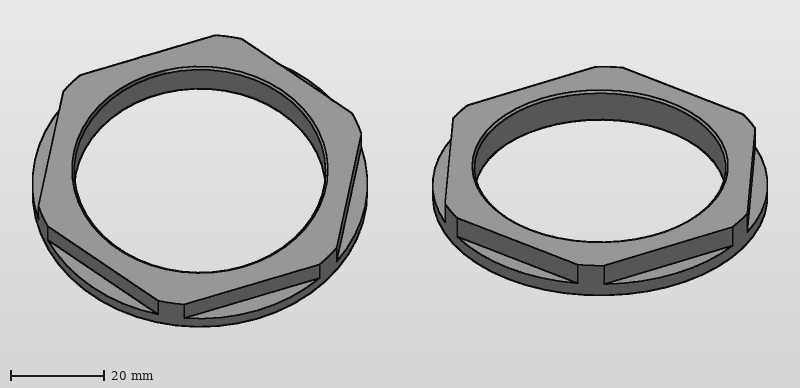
import cadquery as cq
import math

outer_diameter = 72.0
total_height = 8.0
flange_height = 3.0
across_flats = 65.0
bore_diameter = 54.0
bore_chamfer = 0.5
side_count = 6

half_side_angle = 180 / side_count
hex_corner_diameter = across_flats / math.cos(math.radians(half_side_angle))


def disc(diameter, height):
    """Solid disc standing on the base plane."""
    return cq.Workplane("XY").circle(diameter / 2).extrude(height)


def hex_on_flange():
    """Hexagon with flats facing +X and -X, its corners rounded to the flange diameter."""
    hexagon = (
        cq.Workplane("XY")
        .transformed(rotate=(0, 0, half_side_angle))
        .polygon(side_count, hex_corner_diameter)
        .extrude(total_height)
    )
    rounded_hexagon = hexagon.intersect(disc(outer_diameter, total_height))
    return disc(outer_diameter, flange_height).union(rounded_hexagon)


def cut_bore(body):
    """Through bore with a small chamfer at both ends."""
    bored = body.cut(disc(bore_diameter, total_height))
    bore_edges = bored.edges(cq.selectors.RadiusNthSelector(0))
    return bore_edges.chamfer(bore_chamfer)


result = cut_bore(hex_on_flange())